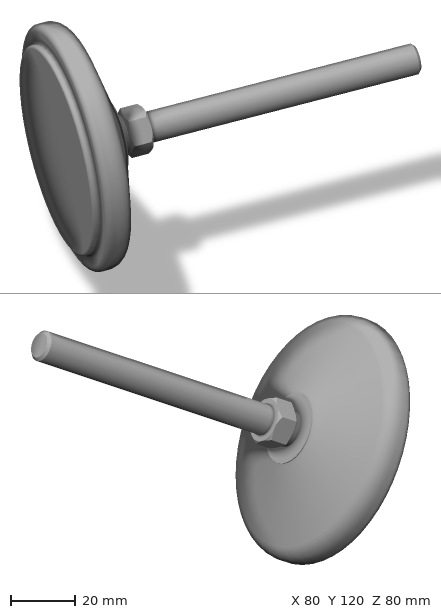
import cadquery as cq
import math

TOTAL_LENGTH = 120.0

RIM_RADIUS = 80.0 / 2
RIM_BOTTOM = 2.5
RIM_LOWER_FILLET = 2.0
RIM_UPPER_START = 7.0
RIM_UPPER_FILLET = 5.0
CONE_SLOPE = 17.5
FOOT_HEIGHT = 20.0
TOP_RADIUS = 11.4
PAD_RADIUS = 68.0 / 2
PAD_FILLET = 1.0

SHAFT_RADIUS = 10.0 / 2
SHAFT_CHAMFER = 1.0
NECK_RADIUS = 6.0
HEX_BOTTOM = 22.5
HEX_TOP = 30.0
HEX_ACROSS_FLATS = 13.9
HEX_TURN = 11.0
HEX_TOP_RADIUS = 7.0
HEX_TOP_BEVEL = 1.1
HEX_BOTTOM_BEVEL = 0.8

HEX_CORNER_RADIUS = HEX_ACROSS_FLATS / 2 / math.cos(math.radians(30))


def arc_point(center, radius, degrees):
    """Point at an angle on a circle in the XY plane."""
    angle = math.radians(degrees)
    return (center[0] + radius * math.cos(angle), center[1] + radius * math.sin(angle))


def revolve_about_y(profile):
    return profile.close().revolve(360, (0, 0, 0), (0, 1, 0))


def make_foot():
    """Round foot: floor pad, rounded rim and a cone up to a flat top."""
    pad_center = (PAD_RADIUS - PAD_FILLET, PAD_FILLET)
    root_center = (PAD_RADIUS + PAD_FILLET, RIM_BOTTOM - PAD_FILLET)
    lower_center = (RIM_RADIUS - RIM_LOWER_FILLET, RIM_BOTTOM + RIM_LOWER_FILLET)
    upper_center = (RIM_RADIUS - RIM_UPPER_FILLET, RIM_UPPER_START)

    tangent_angle = 90 - CONE_SLOPE
    cone_start = arc_point(upper_center, RIM_UPPER_FILLET, tangent_angle)
    cone_rise = (cone_start[0] - TOP_RADIUS) * math.tan(math.radians(CONE_SLOPE))
    cone_top = cone_start[1] + cone_rise

    profile = (
        cq.Workplane("XY")
        .moveTo(0, 0)
        .lineTo(pad_center[0], 0)
        .threePointArc(arc_point(pad_center, PAD_FILLET, -45), (PAD_RADIUS, PAD_FILLET))
        .lineTo(PAD_RADIUS, root_center[1])
        .threePointArc(arc_point(root_center, PAD_FILLET, 135), (root_center[0], RIM_BOTTOM))
        .lineTo(lower_center[0], RIM_BOTTOM)
        .threePointArc(arc_point(lower_center, RIM_LOWER_FILLET, -45), (RIM_RADIUS, lower_center[1]))
        .lineTo(RIM_RADIUS, RIM_UPPER_START)
        .threePointArc(arc_point(upper_center, RIM_UPPER_FILLET, tangent_angle / 2), cone_start)
        .lineTo(TOP_RADIUS, cone_top)
        .lineTo(TOP_RADIUS, FOOT_HEIGHT)
        .lineTo(0, FOOT_HEIGHT)
    )
    return revolve_about_y(profile)


def cylinder_along_y(radius, start, end):
    return (
        cq.Workplane("XZ", origin=(0, start, 0))
        .circle(radius)
        .extrude(start - end)
    )


def make_hex():
    """Hexagon with its corners bevelled by a cone at each end."""
    prism = (
        cq.Workplane("XZ", origin=(0, HEX_BOTTOM, 0))
        .polygon(6, 2 * HEX_CORNER_RADIUS)
        .extrude(HEX_BOTTOM - HEX_TOP)
        .rotate((0, 0, 0), (0, 1, 0), -HEX_TURN)
    )
    bevel_envelope = revolve_about_y(
        cq.Workplane("XY")
        .moveTo(0, HEX_BOTTOM)
        .lineTo(NECK_RADIUS, HEX_BOTTOM)
        .lineTo(HEX_CORNER_RADIUS, HEX_BOTTOM + HEX_BOTTOM_BEVEL)
        .lineTo(HEX_CORNER_RADIUS, HEX_TOP - HEX_TOP_BEVEL)
        .lineTo(HEX_TOP_RADIUS, HEX_TOP)
        .lineTo(0, HEX_TOP)
    )
    return prism.intersect(bevel_envelope)


def make_stud():
    """Stud standing on the foot: neck, hexagon and long shaft."""
    neck = cylinder_along_y(NECK_RADIUS, FOOT_HEIGHT, HEX_BOTTOM)
    shaft = cylinder_along_y(SHAFT_RADIUS, HEX_TOP, TOTAL_LENGTH)
    shaft = shaft.faces(">Y").chamfer(SHAFT_CHAMFER)
    return neck.union(make_hex()).union(shaft).solids()


foot = make_foot()
stud = make_stud()
result = cq.Compound.makeCompound([foot.val(), stud.val()])